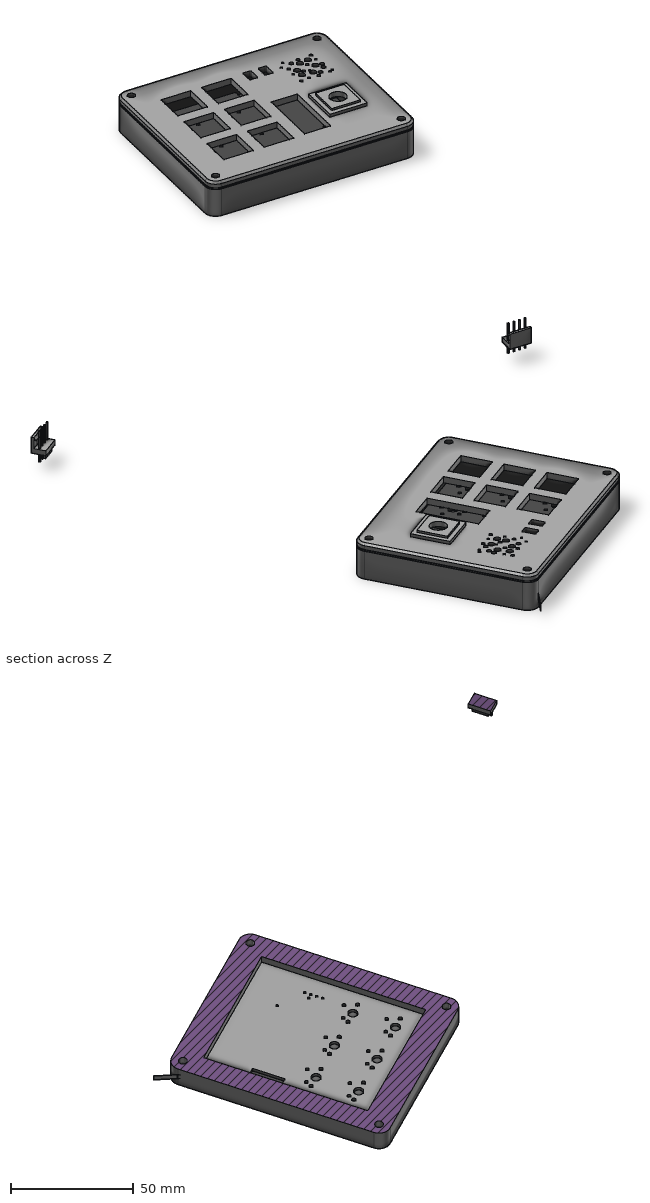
import cadquery as cq
import math

case_width = 79.8
case_length = 97.5
corner_radius = 5.0
case_height = 13.7
side_wall = 10.0
end_wall = 12.3
lid_thickness = 3.0
lid_chamfer = 1.0
lid_top = case_height + lid_thickness
rim_height = 0.7
rim_inset = 0.2
screw_hole_diameter = 3.4
screw_inset = 5.0
case_center = (case_width / 2, case_length / 2)
screw_spacing_x = case_width - 2 * screw_inset
screw_spacing_y = case_length - 2 * screw_inset

key_pitch = 19.0
key_opening = 14.0
key_columns = 3
lower_row_y = 21.0
key_row_centers = (lower_row_y, lower_row_y + key_pitch)
key_centers = [
    (case_center[0] + (column - (key_columns - 1) / 2) * key_pitch, row_y)
    for column in range(key_columns)
    for row_y in key_row_centers
]

display_width = 27.7
display_height = 12.3
display_center = (51.5, 58.5)

slot_width = 6.0
slot_height = 3.8
slot_corner_radius = 0.5
slot_centers = [(15.9, 62.0), (15.9, 54.8)]

encoder_center = (50.7, 76.2)
bezel_base_side = 17.5
bezel_base_height = 1.5
bezel_top_side = 13.5
bezel_height = 2.5
encoder_hole_diameter = 7.5

speaker_center = (22.1, 78.0)
speaker_holes = {
    3.0: [(-4.8, 3.1), (0.2, 3.8), (-4.0, -1.0), (4.3, 0.5), (0.0, -4.5), (3.8, -4.5)],
    2.0: [(0.7, 6.7), (3.1, 6.0), (5.8, 3.1), (-5.8, -4.0)],
    1.5: [(-7.0, -0.2), (1.7, -2.5), (-2.6, -7.0), (7.7, -7.0), (-7.2, 6.0), (7.7, 1.2), (-2.0, 1.2)],
    1.1: [(-3.5, 6.3), (6.5, 8.2), (7.2, 6.7), (7.2, -3.1), (1.7, -7.5)],
    1.0: [(-8.0, -7.0), (-5.0, -9.1), (2.5, 0.0)],
}

board_thickness = 1.6
board_top = 6.3
board_bottom = board_top - board_thickness
board_width = case_width - 2 * side_wall
board_length = case_length - 2 * end_wall
board_notch_depth = 5.0
board_notch_length = 14.5
key_center_hole_diameter = 4.0
key_side_hole_diameter = 1.7
key_side_hole_offset = 5.0
key_contact_hole_diameter = 1.5
key_contact_offsets = [(-3.8, 2.6), (2.6, 5.0)]
display_pin_pitch = 2.6
display_pin_count = 4
display_pin_diameter = 1.0
display_pin_x = 61.5
display_extra_pin_offset = 2.2
encoder_pin_diameter = 1.0
encoder_pin_center = (50.5, 70.0)

strip_tip = (-4.5, 101.2)
strip_direction = (0.46, -0.89)
strip_length = 15.6
strip_thickness = 0.2
strip_bottom = 3.5
strip_height = 2.5

connector_right = 236.0
connector_depth = 6.5
connector_length = 10.0
connector_center_y = 57.0
connector_base_bottom = 7.2
connector_base_top = 9.5
latch_thickness = 1.2
latch_top = 14.7
latch_hook_reach = 1.0
latch_hook_height = 1.2
foot_inset = 0.7
foot_width = 1.0
foot_height = 2.2
foot_length = 7.2
pin_pitch = 2.6
pin_side = 0.65
pin_count = 4
pin_bottom = 3.4
pin_top = 17.8
pin_inset = 3.1


def plate(width, length, thickness, center, bottom):
    """Rectangular block centred on a plan point and standing on the given level."""
    return (
        cq.Workplane("XY", origin=(*center, bottom))
        .rect(width, length)
        .extrude(thickness)
    )


def cylinders(diameter, centers, bottom, top):
    """Vertical cylinders at the given plan points."""
    return (
        cq.Workplane("XY", origin=(0, 0, bottom))
        .pushPoints(centers)
        .circle(diameter / 2)
        .extrude(top - bottom)
    )


def rounded_block(inset, bottom, top):
    """Enclosure outline, moved inward by the inset, extruded between two levels."""
    return plate(
        case_width - 2 * inset, case_length - 2 * inset, top - bottom, case_center, bottom
    ).edges("|Z").fillet(corner_radius - inset)


screw_centers = [
    (case_center[0] + side_x * screw_spacing_x / 2, case_center[1] + side_y * screw_spacing_y / 2)
    for side_x in (-1, 1)
    for side_y in (-1, 1)
]


def make_strip():
    """Thin upright strip running diagonally from outside into the case wall."""
    angle = math.degrees(math.atan2(strip_direction[1], strip_direction[0]))
    return (
        cq.Workplane("XY")
        .box(strip_length, strip_thickness, strip_height, centered=(False, False, False))
        .rotate((0, 0, 0), (0, 0, 1), angle)
        .translate((*strip_tip, strip_bottom))
    )


def make_case(strip_body):
    """Open tray with thick walls, corner screw holes and a slit for the strip."""
    rim_bottom = case_height - rim_height
    tray = rounded_block(0, 0, rim_bottom).union(rounded_block(rim_inset, rim_bottom, case_height))
    tray = tray.cut(
        plate(board_width, board_length, case_height - board_bottom, case_center, board_bottom)
    )
    tray = tray.cut(cylinders(screw_hole_diameter, screw_centers, 0, case_height))
    return tray.cut(strip_body)


def make_lid():
    """Cover plate with the encoder bezel, key, display and slot openings and speaker holes."""
    cover = rounded_block(0, case_height, lid_top).faces(">Z").edges().chamfer(lid_chamfer)
    cover = cover.union(
        plate(bezel_base_side, bezel_base_side, bezel_base_height, encoder_center, lid_top)
    )
    cover = cover.union(
        plate(bezel_top_side, bezel_top_side, bezel_height, encoder_center, lid_top)
    )
    cover = cover.cut(
        plate(bezel_top_side, bezel_top_side, lid_thickness, encoder_center, case_height)
    )
    cover = cover.cut(
        cylinders(encoder_hole_diameter, [encoder_center], case_height, lid_top + bezel_height)
    )
    cover = cover.cut(cylinders(screw_hole_diameter, screw_centers, case_height, lid_top))
    for center in key_centers:
        cover = cover.cut(plate(key_opening, key_opening, lid_thickness, center, case_height))
    cover = cover.cut(
        plate(display_width, display_height, lid_thickness, display_center, case_height)
    )
    for center in slot_centers:
        slot = plate(slot_width, slot_height, lid_thickness, center, case_height)
        cover = cover.cut(slot.edges("|Z").fillet(slot_corner_radius))
    for diameter, offsets in speaker_holes.items():
        for offset_x, offset_y in offsets:
            center = (speaker_center[0] + offset_x, speaker_center[1] + offset_y)
            cover = cover.cut(cylinders(diameter, [center], case_height, lid_top))
    return cover


def make_board():
    """Circuit board filling the cavity floor, with the key, display and encoder holes."""
    panel = plate(board_width, board_length, board_thickness, case_center, board_bottom)

    notch_center = (
        side_wall + board_notch_depth / 2,
        (slot_centers[0][1] + slot_centers[1][1]) / 2,
    )
    panel = panel.cut(
        plate(board_notch_depth, board_notch_length, board_thickness, notch_center, board_bottom)
    )

    side_offsets = [(-key_side_hole_offset, 0), (key_side_hole_offset, 0)]
    key_holes = [
        (key_center_hole_diameter, [(0, 0)]),
        (key_side_hole_diameter, side_offsets),
        (key_contact_hole_diameter, key_contact_offsets),
    ]
    for diameter, offsets in key_holes:
        centers = [(x + dx, y + dy) for x, y in key_centers for dx, dy in offsets]
        panel = panel.cut(cylinders(diameter, centers, board_bottom, board_top))

    pin_rows = [
        display_center[1] + (pin - (display_pin_count - 1) / 2) * display_pin_pitch
        for pin in range(display_pin_count)
    ]
    display_pins = [(display_pin_x, pin_y) for pin_y in pin_rows]
    display_pins.append((display_pin_x - display_extra_pin_offset, pin_rows[2]))
    panel = panel.cut(cylinders(display_pin_diameter, display_pins, board_bottom, board_top))
    return panel.cut(cylinders(encoder_pin_diameter, [encoder_pin_center], board_bottom, board_top))


def make_connector():
    """Pin header with a hooked latch wall, a foot ridge and a row of straight pins."""
    left = connector_right - connector_depth
    latch_face = connector_right - latch_thickness
    hook_tip = latch_face - latch_hook_reach
    hook_bottom = latch_top - latch_hook_height
    foot_center = (left + foot_inset + foot_width / 2, connector_center_y)
    foot_bottom = connector_base_bottom - foot_height
    profile = [
        (left, connector_base_bottom),
        (connector_right, connector_base_bottom),
        (connector_right, latch_top),
        (latch_face, latch_top),
        (hook_tip, hook_bottom),
        (latch_face, hook_bottom),
        (latch_face, connector_base_top),
        (left, connector_base_top),
    ]
    body = (
        cq.Workplane("XZ", origin=(0, connector_center_y + connector_length / 2, 0))
        .polyline(profile)
        .close()
        .extrude(connector_length)
    )
    body = body.union(plate(foot_width, foot_length, foot_height, foot_center, foot_bottom))
    for pin in range(pin_count):
        pin_y = connector_center_y + (pin - (pin_count - 1) / 2) * pin_pitch
        body = body.union(
            plate(pin_side, pin_side, pin_top - pin_bottom, (left + pin_inset, pin_y), pin_bottom)
        )
    return body


strip = make_strip()
case = make_case(strip)
lid = make_lid()
board = make_board()
connector = make_connector()

result = cq.Compound.makeCompound(
    [body.solids().val() for body in (case, lid, board, strip, connector)]
)